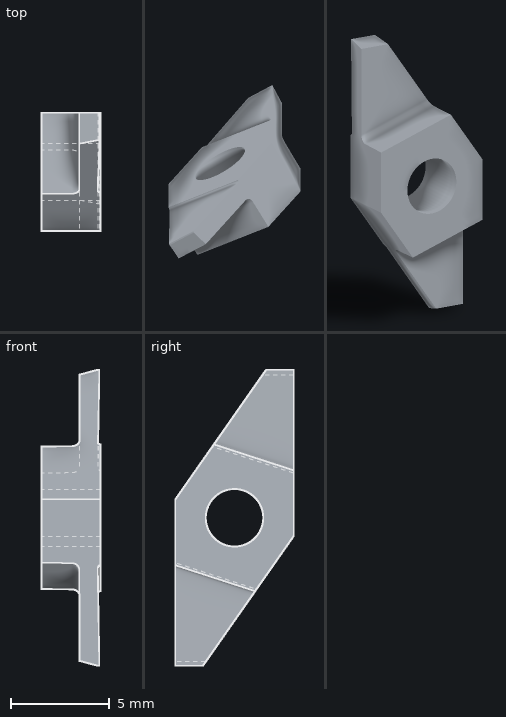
import cadquery as cq
import math

THICKNESS = 3.0
WIDTH = 6.0
HEIGHT = 15.0

TIP_WIDTH = 1.4
FLANK_ANGLE = 35.0
HOLE_DIAMETER = 2.9

SHOULDER_ANGLE = 18.0
SHOULDER_SIDE_Z = 2.27
SHOULDER_DEPTH = 1.93
SHOULDER_DRAFT = 1.0
SHOULDER_FILLET = 0.37

RAKE_SIDE_Z = 2.40
RAKE_DEPTH = 0.14
RAKE_RISE = 1.0

CLEARANCE_ANGLE = 15.0
EDGE_LAND = 0.08

BACK_X = -THICKNESS / 2
FRONT_X = THICKNESS / 2
WING_X = BACK_X + SHOULDER_DEPTH
HALF_WIDTH = WIDTH / 2
HALF_HEIGHT = HEIGHT / 2
CUT_MARGIN = 2.0
CUT_LENGTH = 3 * WIDTH
CUT_TOP = HALF_HEIGHT + CUT_MARGIN


def insert_blank():
    """Six-sided plate, unchanged by a half turn about X, with its screw hole."""
    flank_drop = (WIDTH - TIP_WIDTH) / math.tan(math.radians(FLANK_ANGLE))
    half_outline = [
        (HALF_WIDTH, HALF_HEIGHT),
        (HALF_WIDTH - TIP_WIDTH, HALF_HEIGHT),
        (-HALF_WIDTH, HALF_HEIGHT - flank_drop),
    ]
    outline = half_outline + [(-y, -z) for y, z in half_outline]
    plane = cq.Workplane("YZ", origin=(BACK_X, 0, 0))
    plate = plane.polyline(outline).close().extrude(THICKNESS)
    hole = plane.circle(HOLE_DIAMETER / 2).extrude(THICKNESS)
    return plate.cut(hole)


def slanted(cutter):
    """Tilt a cutter that runs along Y to the slant of the shoulders."""
    return cutter.rotate((0, 0, 0), (1, 0, 0), -SHOULDER_ANGLE)


def distance_from_centre(side_z):
    """Distance from the X axis to the slanted line crossing the straight side at side_z."""
    angle = math.radians(SHOULDER_ANGLE)
    return side_z * math.cos(angle) + HALF_WIDTH * math.sin(angle)


def shoulder_cutter():
    """Space behind the upper wing, bounded by the drafted and filleted shoulder."""
    draft = math.radians(SHOULDER_DRAFT)
    edge_z = distance_from_centre(SHOULDER_SIDE_Z)
    centre_x = WING_X - SHOULDER_FILLET
    tangent_x = centre_x + SHOULDER_FILLET * math.sin(draft)
    tangent_z = edge_z + (tangent_x - BACK_X) * math.tan(draft)
    centre_z = tangent_z + SHOULDER_FILLET * math.cos(draft)
    middle = (math.pi / 2 - draft) / 2
    arc_middle = (
        centre_x + SHOULDER_FILLET * math.cos(middle),
        centre_z - SHOULDER_FILLET * math.sin(middle),
    )
    profile = (
        cq.Workplane("XZ")
        .moveTo(BACK_X, edge_z)
        .lineTo(tangent_x, tangent_z)
        .threePointArc(arc_middle, (WING_X, centre_z))
        .lineTo(WING_X, CUT_TOP)
        .lineTo(BACK_X, CUT_TOP)
        .close()
    )
    return slanted(profile.extrude(CUT_LENGTH / 2, both=True))


def rake_floor_x(distance):
    """X of the recess floor at a given distance from the X axis, square to the shoulder."""
    foot = distance_from_centre(RAKE_SIDE_Z) + RAKE_DEPTH
    return FRONT_X - RAKE_DEPTH + (distance - foot) * math.tan(math.radians(RAKE_RISE))


def rake_cutter():
    """Shallow recess in the front of the upper wing, with a concave rounded wall."""
    edge_z = distance_from_centre(RAKE_SIDE_Z)
    foot_z = edge_z + RAKE_DEPTH
    diagonal = RAKE_DEPTH * math.sqrt(0.5)
    profile = (
        cq.Workplane("XZ")
        .moveTo(FRONT_X, edge_z)
        .threePointArc((FRONT_X - diagonal, foot_z - diagonal), (FRONT_X - RAKE_DEPTH, foot_z))
        .lineTo(rake_floor_x(CUT_TOP), CUT_TOP)
        .lineTo(FRONT_X, CUT_TOP)
        .close()
    )
    return slanted(profile.extrude(CUT_LENGTH / 2, both=True))


def clearance_cutter():
    """Wedge that slopes the upper tip down from the cutting edge to the back."""
    land_x = rake_floor_x(distance_from_centre(HALF_HEIGHT)) - EDGE_LAND
    drop = (land_x - BACK_X) * math.tan(math.radians(CLEARANCE_ANGLE))
    wedge = [(land_x, HALF_HEIGHT), (BACK_X, HALF_HEIGHT - drop), (BACK_X, HALF_HEIGHT)]
    return cq.Workplane("XZ").polyline(wedge).close().extrude(CUT_LENGTH / 2, both=True)


result = insert_blank()
for make_cutter in (shoulder_cutter, rake_cutter, clearance_cutter):
    upper = make_cutter()
    lower = upper.rotate((0, 0, 0), (1, 0, 0), 180)
    result = result.cut(upper).cut(lower)